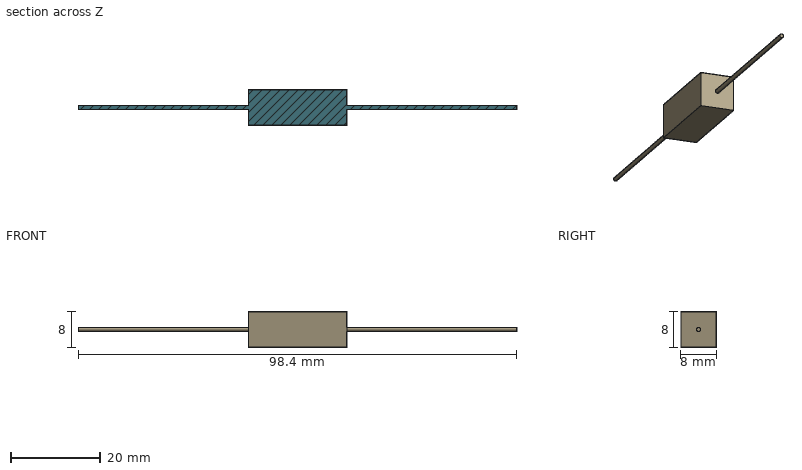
import cadquery as cq

overall_length = 98.4
body_length = 22.1
body_width = 8.0
lead_diameter = 0.92

body = cq.Workplane("XY").box(body_length, body_width, body_width)
lead = cq.Workplane("YZ").circle(lead_diameter / 2).extrude(overall_length / 2, both=True)

result = body.union(lead)